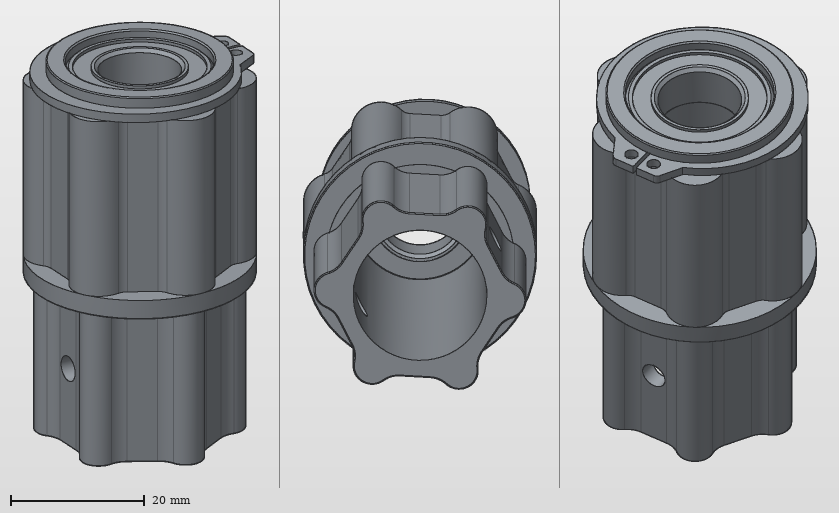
import cadquery as cq
import math

LOBE_COUNT = 6
LOBE_PITCH = 360 / LOBE_COUNT
LOBE_CENTER_RADIUS = 13.05
FLAT_HALF_WIDTH = 2.3
FLANGE_DIAMETER = 34.95
SLEEVE_TIP_RADIUS = FLANGE_DIAMETER / 2
SLEEVE_FLAT_DISTANCE = 14.2
LOBE_STEP = 1.55
CORE_TIP_RADIUS = SLEEVE_TIP_RADIUS - LOBE_STEP
CORE_FLAT_DISTANCE = SLEEVE_FLAT_DISTANCE - LOBE_STEP

TOTAL_HEIGHT = 60.3
SLEEVE_BOTTOM = 25.45
FLANGE_THICKNESS = 3.15
SLEEVE_TOP = 57.2
CLIP_THICKNESS = 1.4

JOURNAL_RADIUS = 14.05
GROOVE_RADIUS = 13.3
SEAT_RADIUS = 11.15
BORE_RADIUS = 10.0
SEAT_CHAMFER = 0.25
EDGE_CHAMFER = 0.2
PIN_HOLE_RADIUS = 2.0
PIN_HOLE_HEIGHT = 12.65

BEARING_TOP = 59.25
BEARING_WIDTH = 7.2
BEARING_BORE_RADIUS = 6.3
BEARING_BORE_CHAMFER = 0.55
BEARING_OUTER_CHAMFER = 0.5
SHIELD_INNER_RADIUS = 7.3
SHIELD_OUTER_RADIUS = 10.1
SHIELD_DEPTH = 0.5

CLIP_OUTER_RADIUS = 15.85
CLIP_OUTER_OFFSET = 0.7
TOTAL_DEPTH = 35.3
LUG_TOP = TOTAL_DEPTH - FLANGE_DIAMETER / 2
LUG_TOP_HALF_WIDTH = 3.9
LUG_BASE = 14.05
LUG_BASE_HALF_WIDTH = 6.05
LUG_CORNER_RADIUS = 0.9
LUG_HOLE_DIAMETER = 2.0
LUG_HOLE_X = 2.0
LUG_HOLE_Y = 15.7
CLIP_SLIT_WIDTH = 0.55


def polar(radius, degrees):
    """Vector of the given length at an angle from +X in the XY plane."""
    angle = math.radians(degrees)
    return cq.Vector(radius * math.cos(angle), radius * math.sin(angle))


def turned(point, degrees):
    """XY position of a point after turning it about the Z axis."""
    angle = math.radians(degrees)
    x = point.x * math.cos(angle) - point.y * math.sin(angle)
    y = point.x * math.sin(angle) + point.y * math.cos(angle)
    return (x, y)


def lobed_prism(tip_radius, flat_distance, bottom, height):
    """Prism with convex lobes blended by tangent concave arcs into flat groove floors."""
    half_pitch = LOBE_PITCH / 2
    lobe_radius = tip_radius - LOBE_CENTER_RADIUS
    lobe_center = polar(LOBE_CENTER_RADIUS, 0)

    radial_gap = LOBE_CENTER_RADIUS * math.cos(math.radians(half_pitch)) - flat_distance
    side_gap = LOBE_CENTER_RADIUS * math.sin(math.radians(half_pitch)) - FLAT_HALF_WIDTH
    blend_radius = (radial_gap**2 + side_gap**2 - lobe_radius**2) / (2 * (radial_gap + lobe_radius))

    normal = polar(1, half_pitch)
    flat_start = normal * flat_distance + polar(FLAT_HALF_WIDTH, half_pitch - 90)
    flat_end = normal * flat_distance + polar(FLAT_HALF_WIDTH, half_pitch + 90)
    blend_center = flat_start + normal * blend_radius
    lobe_end = blend_center + (lobe_center - blend_center).normalized() * blend_radius
    lobe_start = cq.Vector(lobe_end.x, -lobe_end.y)
    mid_direction = ((flat_start - blend_center) + (lobe_end - blend_center)).normalized()
    blend_mid = blend_center + mid_direction * blend_radius

    far_blend_mid = normal * (2 * blend_mid.dot(normal)) - blend_mid
    tip = polar(tip_radius, 0)

    outline = cq.Workplane("XY", origin=(0, 0, bottom)).moveTo(lobe_start.x, lobe_start.y)
    for index in range(LOBE_COUNT):
        angle = index * LOBE_PITCH
        outline = outline.threePointArc(turned(tip, angle), turned(lobe_end, angle))
        outline = outline.threePointArc(turned(blend_mid, angle), turned(flat_start, angle))
        outline = outline.lineTo(*turned(flat_end, angle))
        outline = outline.threePointArc(turned(far_blend_mid, angle), turned(lobe_start, angle + LOBE_PITCH))
    return outline.close().extrude(height)


def disc(radius, bottom, height):
    """Cylinder on the Z axis."""
    return cq.Workplane("XY", origin=(0, 0, bottom)).circle(radius).extrude(height)


def make_core():
    """Lobed shaft with a round journal, a clip groove, a stepped bore and a cross hole."""
    core = lobed_prism(CORE_TIP_RADIUS, CORE_FLAT_DISTANCE, 0, SLEEVE_BOTTOM)
    core = core.faces("<Z").chamfer(EDGE_CHAMFER)
    journal = disc(JOURNAL_RADIUS, SLEEVE_BOTTOM, TOTAL_HEIGHT - SLEEVE_BOTTOM)
    core = core.union(journal.faces(">Z").chamfer(EDGE_CHAMFER))
    groove = disc(JOURNAL_RADIUS, SLEEVE_TOP, CLIP_THICKNESS).cut(
        disc(GROOVE_RADIUS, SLEEVE_TOP, CLIP_THICKNESS)
    )
    core = core.cut(groove).cut(disc(BORE_RADIUS, 0, TOTAL_HEIGHT))
    seat_floor = BEARING_TOP - BEARING_WIDTH
    core = core.cut(disc(SEAT_RADIUS, seat_floor, TOTAL_HEIGHT - seat_floor))
    core = core.faces(">Z").edges(cq.selectors.RadiusNthSelector(0)).chamfer(SEAT_CHAMFER)
    pin_hole = (
        cq.Workplane("XZ", origin=(0, 0, PIN_HOLE_HEIGHT))
        .circle(PIN_HOLE_RADIUS)
        .extrude(CORE_TIP_RADIUS, both=True)
    )
    return core.cut(pin_hole)


def make_sleeve():
    """Flanged lobed sleeve that fits around the journal."""
    flange = disc(FLANGE_DIAMETER / 2, SLEEVE_BOTTOM, FLANGE_THICKNESS).faces("<Z").chamfer(EDGE_CHAMFER)
    height = SLEEVE_TOP - SLEEVE_BOTTOM
    lobes_bottom = SLEEVE_BOTTOM + FLANGE_THICKNESS
    lobes = lobed_prism(SLEEVE_TIP_RADIUS, SLEEVE_FLAT_DISTANCE, lobes_bottom, SLEEVE_TOP - lobes_bottom)
    return flange.union(lobes).cut(disc(JOURNAL_RADIUS, SLEEVE_BOTTOM, height))


def make_clip():
    """Retaining clip with two drilled lugs, seated in the core groove."""
    plane = cq.Workplane("XY", origin=(0, 0, SLEEVE_TOP))
    clip = plane.center(0, -CLIP_OUTER_OFFSET).circle(CLIP_OUTER_RADIUS).extrude(CLIP_THICKNESS)
    lugs = (
        plane.moveTo(-LUG_BASE_HALF_WIDTH, 0)
        .lineTo(-LUG_BASE_HALF_WIDTH, LUG_BASE)
        .lineTo(-LUG_TOP_HALF_WIDTH, LUG_TOP)
        .lineTo(LUG_TOP_HALF_WIDTH, LUG_TOP)
        .lineTo(LUG_BASE_HALF_WIDTH, LUG_BASE)
        .lineTo(LUG_BASE_HALF_WIDTH, 0)
        .close()
        .extrude(CLIP_THICKNESS)
    )
    lugs = lugs.faces(">Y").edges("|Z").fillet(LUG_CORNER_RADIUS)
    holes = (
        plane.pushPoints([(-LUG_HOLE_X, LUG_HOLE_Y), (LUG_HOLE_X, LUG_HOLE_Y)])
        .circle(LUG_HOLE_DIAMETER / 2)
        .extrude(CLIP_THICKNESS)
    )
    slit = plane.center(0, LUG_TOP / 2).rect(CLIP_SLIT_WIDTH, LUG_TOP).extrude(CLIP_THICKNESS)
    opening = disc(GROOVE_RADIUS, SLEEVE_TOP, CLIP_THICKNESS)
    return clip.union(lugs).cut(opening).cut(holes).cut(slit)


def make_bearing():
    """Ball bearing as one ring with a shallow annular recess in each end face."""
    bottom = BEARING_TOP - BEARING_WIDTH
    ring = disc(SEAT_RADIUS, bottom, BEARING_WIDTH).edges().chamfer(BEARING_OUTER_CHAMFER)
    bore = disc(BEARING_BORE_RADIUS, bottom, BEARING_WIDTH)
    ring = ring.cut(bore)
    ring = ring.edges(cq.selectors.RadiusNthSelector(0)).chamfer(BEARING_BORE_CHAMFER)
    for recess_bottom in (bottom, BEARING_TOP - SHIELD_DEPTH):
        recess = disc(SHIELD_OUTER_RADIUS, recess_bottom, SHIELD_DEPTH).cut(
            disc(SHIELD_INNER_RADIUS, recess_bottom, SHIELD_DEPTH)
        )
        ring = ring.cut(recess)
    return ring


core = make_core()
sleeve = make_sleeve()
clip = make_clip()
bearing = make_bearing()

result = cq.Compound.makeCompound([core.val(), sleeve.val(), clip.val(), bearing.val()])